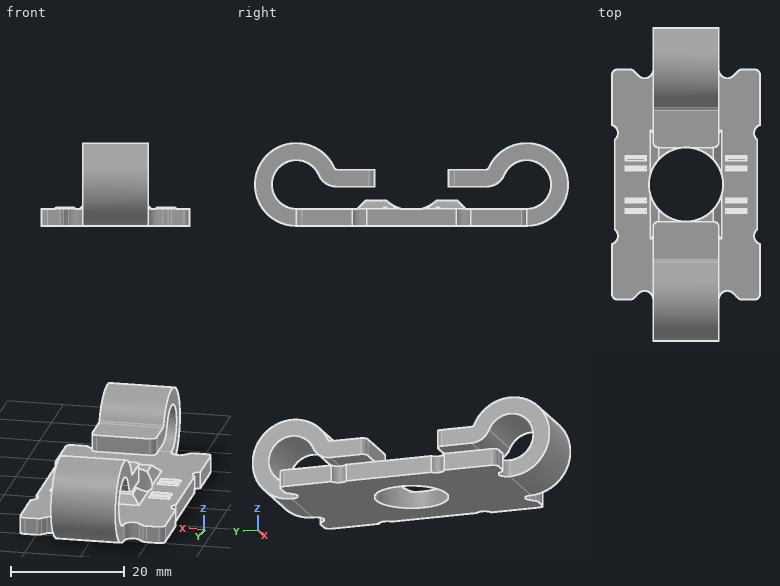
import cadquery as cq
import math

total_length = 55.0
plate_width = 26.0
hook_height = 14.6
thickness = 3.0
corner_radius = 1.0

hook_width = 11.55
curl_outer_radius = hook_height / 2
curl_inner_radius = curl_outer_radius - thickness
curl_y = total_length / 2 - curl_outer_radius
curl_z = curl_outer_radius
arm_top = 9.9
arm_bottom = arm_top - thickness
bend_inner_radius = 0.5
bend_outer_radius = bend_inner_radius + thickness

plate_half_length = curl_y
waist_width = 25.0
notch_radius = 1.5
side_notch_y = 9.0
side_notch_depth = 1.05
relief_depth = 1.55

hole_radius = 6.5
pad_width = 12.5
pad_length = 19.05
pad_height = 1.5

rib_length = 3.7
rib_width = 0.8
rib_height = 0.3
rib_x = 8.85
rib_rows = (2.8, 4.6)


def mirrored_y(body):
    """Return the body joined with its mirror image across the XZ plane."""
    return body.union(body.mirror("XZ"))


def frustum(base_x, base_y, height):
    """Block on the plate top whose four sides slope in at 45 degrees."""
    return (
        cq.Workplane("XY")
        .workplane(offset=thickness)
        .rect(base_x, base_y)
        .workplane(offset=height)
        .rect(base_x - 2 * height, base_y - 2 * height)
        .loft(ruled=True)
    )


def make_end_relief():
    """Cutter at the +X side of the +Y hook root: round against the hook, opening out at 45 degrees."""
    diagonal = math.sqrt(0.5)
    edge_y = plate_half_length
    centre_x = hook_width / 2 + notch_radius
    centre_y = edge_y - relief_depth + notch_radius
    flank_x = centre_x + notch_radius * diagonal
    flank_y = centre_y - notch_radius * diagonal
    round_y = edge_y - corner_radius * (1 - diagonal)
    round_x = flank_x + round_y - flank_y
    round_end_x = round_x + corner_radius * diagonal
    round_centre_y = edge_y - corner_radius
    mid_angle = math.radians(67.5)
    round_mid = (
        round_end_x - corner_radius * math.cos(mid_angle),
        round_centre_y + corner_radius * math.sin(mid_angle),
    )
    return (
        cq.Workplane("XY")
        .moveTo(hook_width / 2, edge_y)
        .lineTo(hook_width / 2, centre_y)
        .threePointArc(
            (
                centre_x - notch_radius * math.cos(mid_angle),
                centre_y - notch_radius * math.sin(mid_angle),
            ),
            (flank_x, flank_y),
        )
        .lineTo(round_x, round_y)
        .threePointArc(round_mid, (round_end_x, edge_y))
        .close()
        .extrude(thickness)
    )


def make_side_cuts():
    """Cutters along the +X edge: the shallow waist and the round notch at each end of it."""
    waist = cq.Workplane("XY").box(
        plate_width - waist_width, 2 * side_notch_y, thickness, centered=(True, True, False)
    )
    notch = (
        cq.Workplane("XY")
        .center(plate_width / 2 - side_notch_depth + notch_radius, side_notch_y)
        .circle(notch_radius)
        .extrude(thickness)
    )
    return waist.translate((plate_width / 2, 0, 0)).union(mirrored_y(notch))


def make_plate():
    plate = (
        cq.Workplane("XY")
        .box(plate_width, 2 * plate_half_length, thickness, centered=(True, True, False))
        .edges("|Z")
        .fillet(corner_radius)
    )
    for cutter in (make_side_cuts(), mirrored_y(make_end_relief())):
        plate = plate.cut(cutter).cut(cutter.mirror("YZ"))
    return plate


def make_hook():
    """Hook at the +Y end, extruded along X from its constant-thickness profile."""
    bend_z = arm_top + bend_inner_radius
    centre_rise = bend_z - curl_z
    centre_gap = curl_outer_radius + bend_inner_radius
    bend_y = curl_y - math.sqrt(centre_gap**2 - centre_rise**2)
    tangent_angle = math.asin(centre_rise / centre_gap)
    bend_mid_angle = (tangent_angle + math.pi / 2) / 2

    def on_curl(radius):
        return (
            curl_y - radius * math.cos(tangent_angle),
            curl_z + radius * math.sin(tangent_angle),
        )

    def bend_mid(radius):
        return (
            bend_y + radius * math.cos(bend_mid_angle),
            bend_z - radius * math.sin(bend_mid_angle),
        )

    arm_tip_y = hole_radius
    profile = (
        cq.Workplane("YZ")
        .moveTo(curl_y, 0)
        .threePointArc((curl_y + curl_outer_radius, curl_z), on_curl(curl_outer_radius))
        .threePointArc(bend_mid(bend_inner_radius), (bend_y, arm_top))
        .lineTo(arm_tip_y, arm_top)
        .lineTo(arm_tip_y, arm_bottom)
        .lineTo(bend_y, arm_bottom)
        .threePointArc(bend_mid(bend_outer_radius), on_curl(curl_inner_radius))
        .threePointArc((curl_y + curl_inner_radius, curl_z), (curl_y, thickness))
        .close()
    )
    hook = profile.extrude(hook_width / 2, both=True)
    return hook.edges("|Z and <Y").fillet(corner_radius)


def make_ribs():
    ribs = cq.Workplane("XY")
    for x in (-rib_x, rib_x):
        for row in rib_rows:
            for y in (-row, row):
                ribs = ribs.add(frustum(rib_length, rib_width, rib_height).translate((x, y, 0)))
    return ribs.combine()


body = make_plate()
body = body.union(mirrored_y(make_hook()))
body = body.union(frustum(pad_width, pad_length, pad_height))
body = body.union(make_ribs())
hole = cq.Workplane("XY").circle(hole_radius).extrude(thickness + pad_height)
result = body.cut(hole)